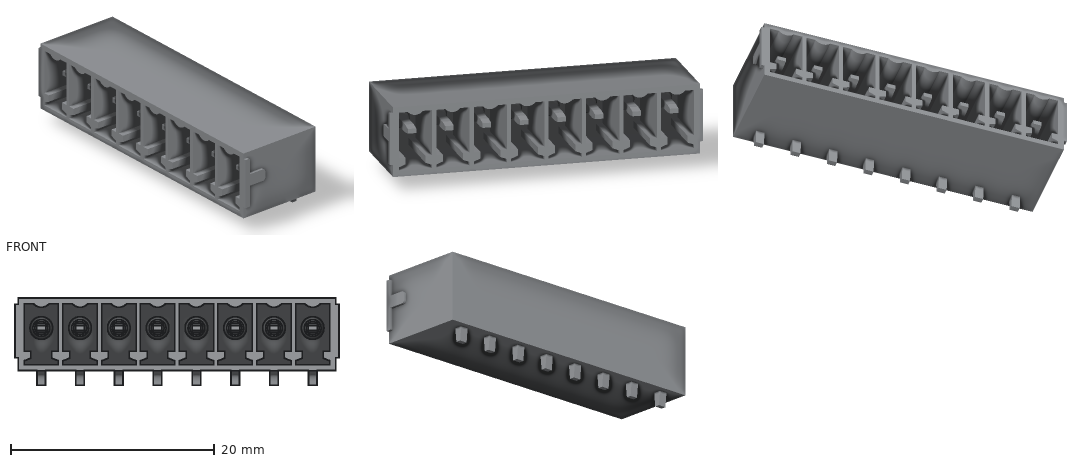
import cadquery as cq

overall_width = 31.87
body_width = 31.23
body_depth = 9.2
body_height = 7.15

contact_count = 8
row_span = 26.68
pitch = row_span / (contact_count - 1)
contact_height = 4.17
contact_positions = [i * pitch - row_span / 2 for i in range(contact_count)]

cavity_width = 3.38
cavity_depth = 6.37
shell_thickness = 0.57
cavity_bottom = shell_thickness
cavity_top = body_height - shell_thickness

key_width = 0.67
key_top = 1.9
key_edge_bottom = 1.2
key_root_bottom = 0.95

rib_width = 1.53
rib_drop = 0.35

boss_base_radius = 1.1
boss_shoulder_radius = 0.83
boss_tip_radius = 0.65
boss_shoulder_height = 0.83
boss_height = 0.92

rail_bar_depth = 0.57
rail_bar_bottom = 1.25
rail_bar_top = 6.53
rail_bar_radius = 0.15
rail_stem_length = 2.52
rail_stem_height = 1.27
rail_stem_radius = 0.32

pin_width = 0.85
pin_height = 0.8
pin_leg_depth = pin_height
pin_leg_setback = 1.18
pin_leg_center = body_depth - pin_leg_setback
pin_tip_y = 1.3
pin_tip_height = 0.48
pin_tip_length = 1.02
pin_leg_length = 1.47
pin_taper_start = 0.3
pin_foot_depth = 0.55


def make_pin_profile():
    """Side outline of an angled pin in the YZ plane."""
    top = contact_height + pin_height / 2
    bottom = contact_height - pin_height / 2
    tip_top = contact_height + pin_tip_height / 2
    tip_bottom = contact_height - pin_tip_height / 2
    leg_front = pin_leg_center - pin_leg_depth / 2
    leg_back = pin_leg_center + pin_leg_depth / 2
    foot_front = pin_leg_center - pin_foot_depth / 2
    foot_back = pin_leg_center + pin_foot_depth / 2
    return cq.Workplane("YZ").polyline([
        (pin_tip_y, tip_top),
        (pin_tip_y + pin_tip_length, top),
        (leg_back, top),
        (leg_back, -pin_taper_start),
        (foot_back, -pin_leg_length),
        (foot_front, -pin_leg_length),
        (leg_front, -pin_taper_start),
        (leg_front, bottom),
        (pin_tip_y + pin_tip_length, bottom),
        (pin_tip_y, tip_bottom),
    ]).close()


def make_pin(x):
    """One angled contact pin centred at the given X."""
    return make_pin_profile().extrude(pin_width / 2, both=True).translate((x, 0, 0))


def make_cavity(x):
    """Open-front cavity volume, narrowed by its keys and ceiling rib."""
    half = cavity_width / 2
    key_edge = half - key_width
    outline = (
        cq.Workplane("XZ")
        .moveTo(-half, cavity_bottom)
        .lineTo(half, cavity_bottom)
        .lineTo(half, key_root_bottom)
        .lineTo(key_edge, key_edge_bottom)
        .lineTo(key_edge, key_top)
        .lineTo(half, key_top)
        .lineTo(half, cavity_top)
        .lineTo(rib_width / 2, cavity_top)
        .threePointArc((0, cavity_top - rib_drop), (-rib_width / 2, cavity_top))
        .lineTo(-half, cavity_top)
        .lineTo(-half, key_top)
        .lineTo(-key_edge, key_top)
        .lineTo(-key_edge, key_edge_bottom)
        .lineTo(-half, key_root_bottom)
        .close()
    )
    return outline.extrude(-cavity_depth).translate((x, 0, 0))


def make_boss(x):
    """Tapered round boss standing on the cavity's rear wall."""
    profile = (
        cq.Workplane("XY")
        .polyline([
            (0, cavity_depth),
            (boss_base_radius, cavity_depth),
            (boss_shoulder_radius, cavity_depth - boss_shoulder_height),
            (boss_tip_radius, cavity_depth - boss_height),
            (0, cavity_depth - boss_height),
        ])
        .close()
    )
    boss = profile.revolve(360, (0, 0, 0), (0, 1, 0))
    return boss.translate((x, 0, contact_height))


def make_rails():
    """T-shaped rails as one slab wider than the body, to be joined with it."""
    bar_height = rail_bar_top - rail_bar_bottom
    bar = (
        cq.Workplane("XY")
        .box(overall_width, rail_bar_depth, bar_height, centered=(True, False, False))
        .translate((0, 0, rail_bar_bottom))
        .edges("|X and >Y")
        .fillet(rail_bar_radius)
    )
    stem = (
        cq.Workplane("XY")
        .box(overall_width, rail_stem_length, rail_stem_height, centered=(True, False, True))
        .translate((0, 0, contact_height))
        .edges("|X and >Y")
        .fillet(rail_stem_radius)
    )
    return bar.union(stem)


def make_housing(pins):
    """Housing with end rails, cavities, bosses and a matching hole for every pin."""
    housing = cq.Workplane("XY").box(
        body_width, body_depth, body_height, centered=(True, False, False)
    )
    housing = housing.union(make_rails())
    for x in contact_positions:
        housing = housing.cut(make_cavity(x)).union(make_boss(x))
    for pin in pins:
        housing = housing.cut(pin)
    return housing


pins = [make_pin(x) for x in contact_positions]
housing = make_housing(pins)

result = cq.Compound.makeCompound([housing.solids().val(), *[pin.val() for pin in pins]])